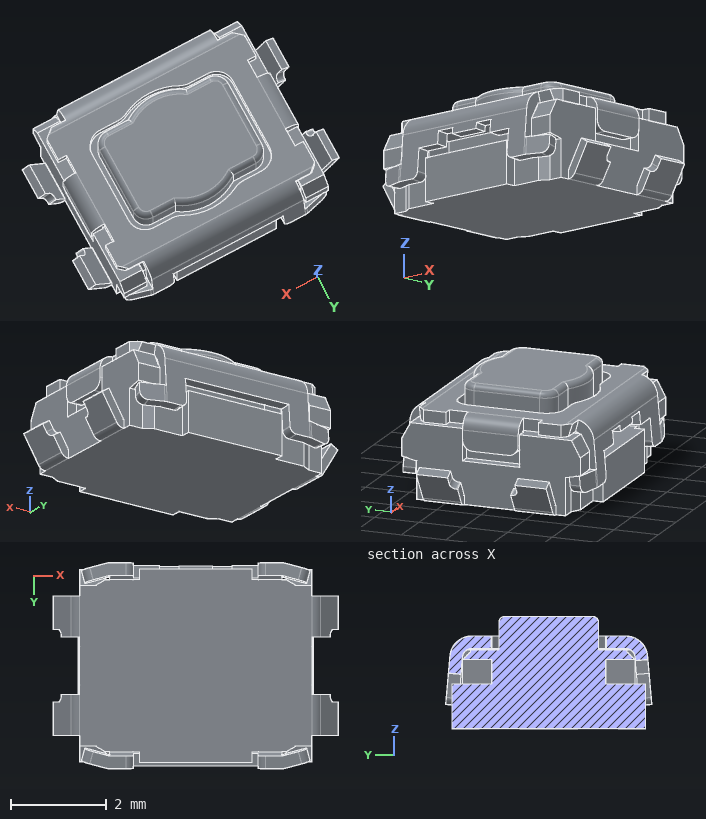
import cadquery as cq
import math

TOTAL_LENGTH = 5.97
TOTAL_WIDTH = 4.32
TOTAL_HEIGHT = 2.36
CUT_MARGIN = 0.595
PICK_REACH = 0.005

HOUSING_HALF_LENGTH = 2.43
HOUSING_HEIGHT = 1.66
BLOCK_HALF_WIDTH = 2.01
BLOCK_INNER_X = 1.89
BLOCK_SHOULDER_Y = 1.815
BLOCK_SHOULDER_Z = 1.3
BLOCK_BOTTOM_Z = 0.91
BLOCK_ROOT_Z = 0.835
WALL_Y = 1.8
CORNER_Y = 1.68
CORNER_X = 2.11
WALL_CHAMFER = 0.16
WALL_CHAMFER_TOP = 1.61
PAD_HALF_LENGTH = 1.18
PAD_Y = 2.03
PAD_HEIGHT = 0.945
SLOT_HALF_LENGTH = 1.315
SLOT_Y = 1.195
POCKET_HALF_WIDTH = 0.645
POCKET_FLOOR = 0.95

BUTTON_HALF_LENGTH = 1.53
BUTTON_HALF_WIDTH = 1.045
BUTTON_CORNER_RADIUS = 0.305
BUTTON_BULGE_HALF = 0.685
BUTTON_BULGE_APEX = 1.255
BUTTON_EDGE_RADIUS = 0.13

COVER_TOP = 1.945
SHEET = 0.27
COVER_HALF_LENGTH = 2.35
COVER_EDGE_Y = 1.725
COVER_CHAMFER_X = 0.2
COVER_CHAMFER_Y = 0.18
NOTCH_X = 2.155
NOTCH_HALF_WIDTH = 1.045
OPENING_GAP = 0.145
OPENING_CORNER_RADIUS = 0.39
OPENING_BLEND_RADIUS = 0.48

LEG_TILT = 5.0
LEG_BEND_RADIUS = 0.46
LEG_HALF_LENGTH = 1.81
LEG_DROP = 1.02
LEG_FOOT_X = 1.31
FOOT_RADIUS = 0.15
FOOT_HEIGHT = 0.655
WINDOW_HALF_LENGTH = 0.765
WINDOW_RISE = 0.285
TOOTH_HALF_LENGTH = 0.345
TOOTH_LENGTH = 0.13
WING_X = 1.83
WING_BEND_RADIUS = 0.19
WING_ANGLE = 15.0
WING_LENGTH = 0.58
WING_HEIGHT = 0.39
WING_CORNER_RADIUS = 0.18

TAB_X = 2.465
TAB_HALF_WIDTH = 0.625
TAB_BOTTOM = 1.195
TAB_BEND_RADIUS = TAB_X - NOTCH_X
TAB_CORNER_RADIUS = 0.225
TAB_INNER_X = TAB_X - SHEET

TERMINAL_SHEET = 0.2
TERMINAL_LEAN = 31.0
TERMINAL_LENGTH = 0.72
TERMINAL_OUTER_Y = 1.46
TERMINAL_INNER_Y = 0.595
TIP_INNER_Y = 0.76
TIP_LENGTH = 0.32
TIP_FILLET = 0.13
TERMINAL_ROOT_X = 2.09


def box(x0, x1, y0, y1, z0, z1):
    return cq.Workplane("XY").box(x1 - x0, y1 - y0, z1 - z0, centered=False).translate((x0, y0, z0))


def both_y(solid):
    return solid.union(solid.mirror("XZ"))


def both_x(solid):
    return solid.union(solid.mirror("YZ"))


def extrude_along_x(points, x0, x1):
    return cq.Workplane("YZ").workplane(offset=x0).polyline(points).close().extrude(x1 - x0)


def make_housing():
    wall_profile = [
        (0, 0),
        (WALL_Y, 0),
        (WALL_Y, WALL_CHAMFER_TOP - WALL_CHAMFER),
        (WALL_Y - WALL_CHAMFER, WALL_CHAMFER_TOP),
        (WALL_Y - WALL_CHAMFER, HOUSING_HEIGHT),
        (0, HOUSING_HEIGHT),
    ]
    quarter = extrude_along_x(wall_profile, 0, BLOCK_INNER_X)
    lower_corner = (
        cq.Workplane("XY")
        .polyline([
            (0, 0),
            (HOUSING_HALF_LENGTH, 0),
            (HOUSING_HALF_LENGTH, CORNER_Y),
            (CORNER_X, CORNER_Y),
            (BLOCK_INNER_X, WALL_Y),
            (0, WALL_Y),
        ])
        .close()
        .extrude(BLOCK_ROOT_Z)
    )
    block_profile = [
        (0, BLOCK_ROOT_Z),
        (CORNER_Y, BLOCK_ROOT_Z),
        (BLOCK_HALF_WIDTH, BLOCK_BOTTOM_Z),
        (BLOCK_HALF_WIDTH, BLOCK_SHOULDER_Z),
        (BLOCK_SHOULDER_Y, HOUSING_HEIGHT),
        (0, HOUSING_HEIGHT),
    ]
    block = extrude_along_x(block_profile, BLOCK_INNER_X, HOUSING_HALF_LENGTH)
    pad = box(0, PAD_HALF_LENGTH, 0, PAD_Y, 0, PAD_HEIGHT)
    slot = box(
        0, SLOT_HALF_LENGTH, SLOT_Y, PAD_Y, PAD_HEIGHT, WALL_CHAMFER_TOP - WALL_CHAMFER)
    pocket = box(
        TAB_INNER_X, HOUSING_HALF_LENGTH + CUT_MARGIN,
        -CUT_MARGIN, POCKET_HALF_WIDTH,
        POCKET_FLOOR, HOUSING_HEIGHT + CUT_MARGIN,
    )
    quarter = quarter.union(lower_corner).union(block).union(pad).cut(slot).cut(pocket)
    return both_y(both_x(quarter))


def bulged_outline(half_length, half_width, bulge_half, apex, height):
    return (
        cq.Workplane("XY")
        .moveTo(-half_length, -half_width)
        .lineTo(-bulge_half, -half_width)
        .threePointArc((0, -apex), (bulge_half, -half_width))
        .lineTo(half_length, -half_width)
        .lineTo(half_length, half_width)
        .lineTo(bulge_half, half_width)
        .threePointArc((0, apex), (-bulge_half, half_width))
        .lineTo(-half_length, half_width)
        .close()
        .extrude(height)
    )


def upright_edges_at(half_length, half_width, height):
    """Select the four vertical edges at (+-half_length, +-half_width)."""
    selector = None
    for x in (-half_length, half_length):
        for y in (-half_width, half_width):
            corner = cq.selectors.BoxSelector(
                (x - PICK_REACH, y - PICK_REACH, 0), (x + PICK_REACH, y + PICK_REACH, height))
            selector = corner if selector is None else selector + corner
    return selector


def make_button():
    height = TOTAL_HEIGHT - HOUSING_HEIGHT
    button = bulged_outline(
        BUTTON_HALF_LENGTH, BUTTON_HALF_WIDTH, BUTTON_BULGE_HALF, BUTTON_BULGE_APEX, height)
    corners = upright_edges_at(BUTTON_HALF_LENGTH, BUTTON_HALF_WIDTH, height)
    button = button.edges(corners).fillet(BUTTON_CORNER_RADIUS)
    button = button.faces(">Z").edges().fillet(BUTTON_EDGE_RADIUS)
    return button.translate((0, 0, HOUSING_HEIGHT))


def make_opening():
    rise = BUTTON_BULGE_APEX - BUTTON_HALF_WIDTH
    bulge_radius = (BUTTON_BULGE_HALF ** 2 + rise ** 2) / (2 * rise)
    bulge_center_y = BUTTON_BULGE_APEX - bulge_radius
    half_length = BUTTON_HALF_LENGTH + OPENING_GAP
    half_width = BUTTON_HALF_WIDTH + OPENING_GAP
    radius = bulge_radius + OPENING_GAP
    bulge_half = math.sqrt(radius ** 2 - (half_width - bulge_center_y) ** 2)
    apex = BUTTON_BULGE_APEX + OPENING_GAP
    depth = SHEET + CUT_MARGIN
    opening = bulged_outline(half_length, half_width, bulge_half, apex, depth)
    corners = upright_edges_at(half_length, half_width, depth)
    opening = opening.edges(corners).fillet(OPENING_CORNER_RADIUS)
    blends = upright_edges_at(bulge_half, half_width, depth)
    opening = opening.edges(blends).fillet(OPENING_BLEND_RADIUS)
    return opening.translate((0, 0, COVER_TOP - SHEET))


tilt = math.radians(LEG_TILT)
leg_top_y = TOTAL_WIDTH / 2 - LEG_DROP * math.sin(tilt)
bend_center_y = leg_top_y - LEG_BEND_RADIUS * math.cos(tilt)
bend_center_z = COVER_TOP - LEG_BEND_RADIUS
leg_top_z = bend_center_z + LEG_BEND_RADIUS * math.sin(tilt)


def bend_sector(x0, x1, end_y):
    """Bend of the +Y leg from x0 to x1, cut off radially where its top reaches end_y."""
    end_angle = math.acos((end_y - bend_center_y) / LEG_BEND_RADIUS)
    middle_angle = (math.pi / 2 + end_angle) / 2
    inner_radius = LEG_BEND_RADIUS - SHEET

    def on_bend(radius, angle):
        return (bend_center_y + radius * math.cos(angle), bend_center_z + radius * math.sin(angle))

    return (
        cq.Workplane("YZ")
        .workplane(offset=x0)
        .moveTo(bend_center_y, COVER_TOP)
        .threePointArc(on_bend(LEG_BEND_RADIUS, middle_angle), on_bend(LEG_BEND_RADIUS, end_angle))
        .lineTo(*on_bend(inner_radius, end_angle))
        .threePointArc(on_bend(inner_radius, middle_angle), (bend_center_y, COVER_TOP - SHEET))
        .close()
        .extrude(x1 - x0)
    )


def make_leg(has_window):
    """Leg of the +Y side, drawn upright with its outer face on Y = 0, then tilted into place."""
    window_z = FOOT_HEIGHT - LEG_DROP
    plate = box(-LEG_HALF_LENGTH, LEG_HALF_LENGTH, -SHEET, 0, -LEG_DROP, 0)
    plate = plate.union(
        box(-WING_X, WING_X, -SHEET, 0, -LEG_DROP, WING_HEIGHT - LEG_DROP))
    plate = plate.cut(
        box(-LEG_FOOT_X, LEG_FOOT_X, -SHEET, 0, -LEG_DROP, window_z))
    for x in (-LEG_FOOT_X, LEG_FOOT_X):
        foot_corner = cq.selectors.NearestToPointSelector((x, -SHEET / 2, -LEG_DROP))
        plate = plate.edges(foot_corner).fillet(FOOT_RADIUS)
    if has_window:
        window_top = window_z + WINDOW_RISE
        window = box(-WINDOW_HALF_LENGTH, WINDOW_HALF_LENGTH, -SHEET, 0, window_z, window_top)
        tooth = box(
            -TOOTH_HALF_LENGTH, TOOTH_HALF_LENGTH, -SHEET, 0,
            window_top - TOOTH_LENGTH, window_top)
        plate = plate.cut(window.cut(tooth))

    wing = box(0, WING_LENGTH, -SHEET, 0, -LEG_DROP, WING_HEIGHT - LEG_DROP)
    wing = wing.edges("|Y and >X and <Z").fillet(WING_CORNER_RADIUS)
    wing = wing.rotate((0, 0, 0), (0, 0, 1), -WING_ANGLE).translate((WING_X, 0, 0))
    plate = plate.union(both_x(wing))
    bend_z = WING_HEIGHT / 2 - LEG_DROP
    for x in (-WING_X, WING_X):
        wing_bend = cq.selectors.NearestToPointSelector((x, 0, bend_z))
        plate = plate.edges(wing_bend).fillet(WING_BEND_RADIUS)
    plate = plate.rotate((0, 0, 0), (1, 0, 0), LEG_TILT).translate((0, leg_top_y, leg_top_z))
    return plate.union(bend_sector(-LEG_HALF_LENGTH, LEG_HALF_LENGTH, leg_top_y))


def make_tab():
    """Tab of the +X end: a flat strip that bends straight down into the housing pocket."""
    inner_radius = TAB_BEND_RADIUS - SHEET
    diagonal = math.sqrt(0.5)
    center_z = COVER_TOP - TAB_BEND_RADIUS
    tab = (
        cq.Workplane("XZ")
        .workplane(offset=-TAB_HALF_WIDTH)
        .moveTo(NOTCH_X, COVER_TOP)
        .threePointArc(
            (NOTCH_X + TAB_BEND_RADIUS * diagonal, center_z + TAB_BEND_RADIUS * diagonal),
            (TAB_X, center_z))
        .lineTo(TAB_X, TAB_BOTTOM)
        .lineTo(TAB_INNER_X, TAB_BOTTOM)
        .lineTo(TAB_INNER_X, center_z)
        .threePointArc(
            (NOTCH_X + inner_radius * diagonal, center_z + inner_radius * diagonal),
            (NOTCH_X, COVER_TOP - SHEET))
        .close()
        .extrude(2 * TAB_HALF_WIDTH)
    )
    return tab.edges("|X and <Z").fillet(TAB_CORNER_RADIUS)


def make_cover():
    plate = box(
        -COVER_HALF_LENGTH, COVER_HALF_LENGTH, -bend_center_y, bend_center_y,
        COVER_TOP - SHEET, COVER_TOP)
    rims = both_y(bend_sector(-COVER_HALF_LENGTH, COVER_HALF_LENGTH, COVER_EDGE_Y))
    corner = (
        cq.Workplane("XY")
        .moveTo(COVER_HALF_LENGTH, COVER_EDGE_Y - COVER_CHAMFER_Y)
        .lineTo(COVER_HALF_LENGTH - COVER_CHAMFER_X, COVER_EDGE_Y)
        .lineTo(COVER_HALF_LENGTH, COVER_EDGE_Y)
        .close()
        .extrude(COVER_TOP)
    )
    notch = box(
        NOTCH_X, COVER_HALF_LENGTH, -NOTCH_HALF_WIDTH, NOTCH_HALF_WIDTH, 0, COVER_TOP)
    cover = plate.union(rims).cut(both_x(both_y(corner))).cut(both_x(notch))
    cover = cover.cut(make_opening())
    back_leg = make_leg(has_window=False)
    front_leg = make_leg(has_window=True).mirror("XZ")
    return cover.union(back_leg).union(front_leg).union(both_x(make_tab()))


def make_terminal():
    """Terminal at +X, +Y: flat in the housing, then bent up and outward."""
    lean = math.radians(TERMINAL_LEAN)
    bend_x = (
        TOTAL_LENGTH / 2
        - TERMINAL_LENGTH * math.sin(lean)
        - TERMINAL_SHEET * math.cos(lean)
    )
    turn = math.pi / 2 - lean

    def on_bend(angle):
        return (
            bend_x + TERMINAL_SHEET * math.sin(angle),
            TERMINAL_SHEET - TERMINAL_SHEET * math.cos(angle),
        )

    bent_end = on_bend(turn)
    along = (TERMINAL_LENGTH * math.sin(lean), TERMINAL_LENGTH * math.cos(lean))
    terminal = (
        cq.Workplane("XZ")
        .workplane(offset=-TERMINAL_OUTER_Y)
        .moveTo(TERMINAL_ROOT_X, 0)
        .lineTo(bend_x, 0)
        .threePointArc(on_bend(turn / 2), bent_end)
        .lineTo(bent_end[0] + along[0], bent_end[1] + along[1])
        .lineTo(bend_x + along[0], TERMINAL_SHEET + along[1])
        .lineTo(bend_x, TERMINAL_SHEET)
        .lineTo(TERMINAL_ROOT_X, TERMINAL_SHEET)
        .close()
        .extrude(TERMINAL_OUTER_Y - TERMINAL_INNER_Y)
    )
    tip_cut = box(
        -CUT_MARGIN, CUT_MARGIN, TERMINAL_INNER_Y - CUT_MARGIN, TIP_INNER_Y,
        TERMINAL_LENGTH - TIP_LENGTH, TERMINAL_LENGTH + CUT_MARGIN)
    tip_cut = tip_cut.edges("|X and >Y and <Z").fillet(TIP_FILLET)
    tip_cut = tip_cut.rotate((0, 0, 0), (0, 1, 0), TERMINAL_LEAN)
    return terminal.cut(tip_cut.translate((bend_x, 0, TERMINAL_SHEET)))


terminals = both_y(both_x(make_terminal()))
result = make_housing().union(terminals).union(make_cover()).union(make_button())